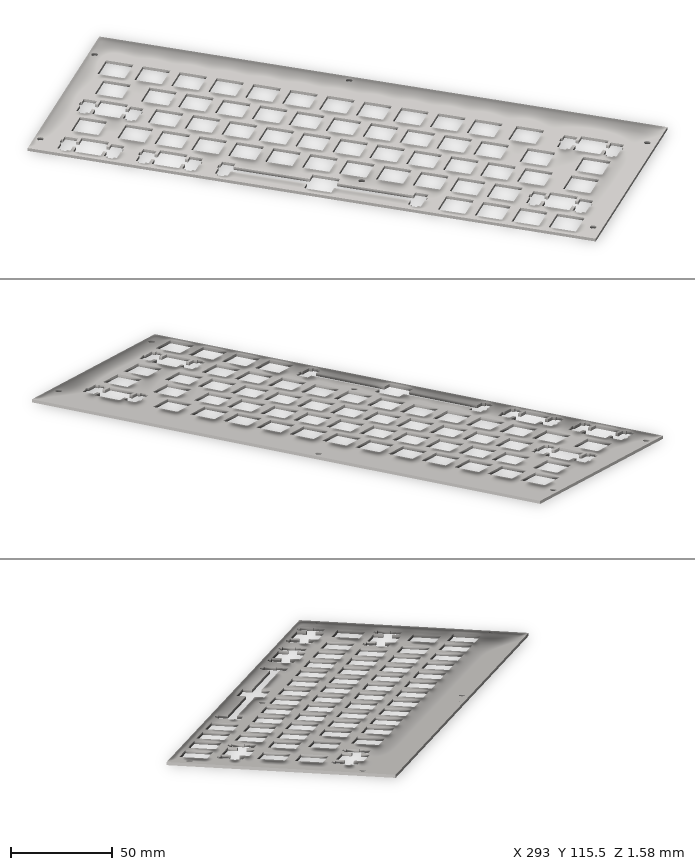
import cadquery as cq

PLATE_LENGTH = 293.0
PLATE_WIDTH = 115.5
PLATE_THICKNESS = 1.58

KEY_PITCH = 19.0
SWITCH_SIZE = 14.0
KEYS_LEFT_X = -138.5
MIDDLE_ROW_Y = -8.8

STABILIZER_OFFSET = 12.0
SPACE_BAR_STABILIZER_OFFSET = 49.8
STABILIZER_WIDTH = 6.7
STABILIZER_TOP = 5.5
STABILIZER_BOTTOM = -6.7
FOOT_WIDTH = 3.2
FOOT_BOTTOM = -8.0
CLIP_DEPTH = 0.75
CLIP_TOP = 2.3
CLIP_BOTTOM = -0.5
CHANNEL_WIDTH = 4.7

HOLE_DIAMETER = 3.2
LEFT_HOLE_X = -143.3
RIGHT_HOLE_X = 142.0
UPPER_HOLE_Y = 40.2
LOWER_HOLE_Y = -47.2
TOP_EDGE_HOLE = (-16.5, 54.0)
SPACE_BAR_HOLE = (19.5, -38.5)
HOLE_POSITIONS = [
    (LEFT_HOLE_X, UPPER_HOLE_Y),
    (LEFT_HOLE_X, LOWER_HOLE_Y),
    (RIGHT_HOLE_X, UPPER_HOLE_Y),
    (RIGHT_HOLE_X, LOWER_HOLE_Y),
    TOP_EDGE_HOLE,
    SPACE_BAR_HOLE,
]

KEY_ROWS = [
    [1] * 11 + [1.25, 2.25],
    [1.5] + [1] * 10 + [1.5, 1.5],
    [2] + [1] * 11 + [1.5],
    [1.5] + [1] * 11 + [2],
    [2.25, 2, 6.25] + [1] * 4,
]
STABILIZED_WIDTH = 2
SPACE_BAR_WIDTH = 6.25


def block(left, right, bottom, top):
    """Cutter through the plate with the given limits in X and Y."""
    return (
        cq.Workplane("XY")
        .box(right - left, top - bottom, PLATE_THICKNESS)
        .translate(((left + right) / 2, (bottom + top) / 2, 0))
    )


def switch_cutter():
    half = SWITCH_SIZE / 2
    return block(-half, half, -half, half)


def stabilized_cutter(offset):
    """Switch opening joined by a channel to a stabilizer opening on each side."""
    half_width = STABILIZER_WIDTH / 2
    half_foot = FOOT_WIDTH / 2
    half_channel = CHANNEL_WIDTH / 2
    outer = offset + half_width
    cutter = switch_cutter()
    cutter = cutter.union(block(-offset, offset, -half_channel, half_channel))
    cutter = cutter.union(block(-outer - CLIP_DEPTH, -offset, CLIP_BOTTOM, CLIP_TOP))
    cutter = cutter.union(block(offset, outer + CLIP_DEPTH, CLIP_BOTTOM, CLIP_TOP))
    for x in (-offset, offset):
        cutter = cutter.union(block(x - half_width, x + half_width, STABILIZER_BOTTOM, STABILIZER_TOP))
        cutter = cutter.union(block(x - half_foot, x + half_foot, FOOT_BOTTOM, STABILIZER_TOP))
    return cutter


def key_cutter(width):
    if width == SPACE_BAR_WIDTH:
        return stabilized_cutter(SPACE_BAR_STABILIZER_OFFSET)
    if width >= STABILIZED_WIDTH:
        return stabilized_cutter(STABILIZER_OFFSET)
    return switch_cutter()


plate = cq.Workplane("XY").box(PLATE_LENGTH, PLATE_WIDTH, PLATE_THICKNESS)
plate = plate.faces(">Z").workplane().pushPoints(HOLE_POSITIONS).hole(HOLE_DIAMETER)

middle_row = (len(KEY_ROWS) - 1) / 2
for row, widths in enumerate(KEY_ROWS):
    row_y = MIDDLE_ROW_Y + (middle_row - row) * KEY_PITCH
    key_left = KEYS_LEFT_X
    for width in widths:
        key_x = key_left + width * KEY_PITCH / 2
        plate = plate.cut(key_cutter(width).translate((key_x, row_y, 0)))
        key_left += width * KEY_PITCH

result = plate